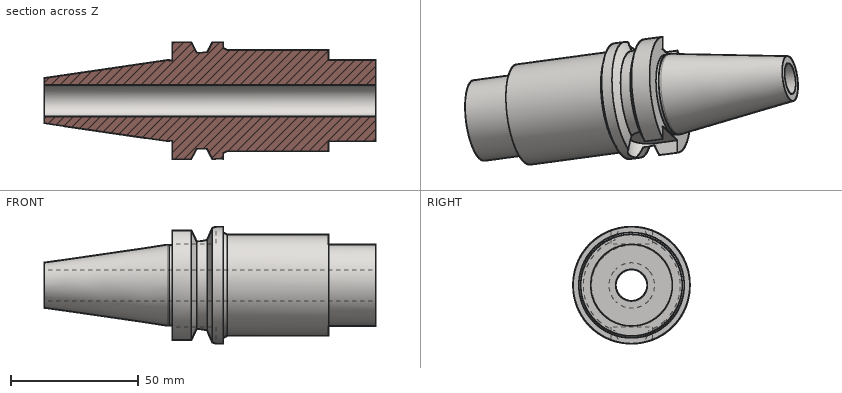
import cadquery as cq

total_length = 130.3
bore_radius = 6.1

taper_end_radius = 8.93
taper_length = 48.3
taper_slope = 7 / 48
taper_radius = taper_end_radius + taper_length * taper_slope
land_end = 49.1
neck_relief = 0.1

flange_start = 50.3
flange_end = 70.4
flange_radius = 46.0 / 2
groove_start = 57.9
groove_floor_start = 60.0
groove_floor_end = 64.0
groove_end = 66.0
groove_radius = 19.0

body_radius = 20.0
body_end = 111.7
shoulder_length = 1.5
shoulder_rise = 0.8
nose_radius = 16.0

slot_width = 16.2
slot_tip = flange_start + 17.2
slot_floor = 16.3


def revolved_holder():
    """Revolve the stepped half outline, bore included, about the X axis."""
    outline = [
        (0, bore_radius),
        (0, taper_end_radius),
        (taper_length, taper_radius),
        (land_end, taper_radius),
        (land_end, taper_radius - neck_relief),
        (flange_start, taper_radius - neck_relief),
        (flange_start, flange_radius),
        (groove_start, flange_radius),
        (groove_floor_start, groove_radius),
        (groove_floor_end, groove_radius),
        (groove_end, flange_radius),
        (flange_end, flange_radius),
        (flange_end, body_radius + shoulder_rise),
        (flange_end + shoulder_length, body_radius),
        (body_end, body_radius),
        (body_end, nose_radius),
        (total_length, nose_radius),
        (total_length, bore_radius),
    ]
    return cq.Workplane("XY").polyline(outline).close().revolve(360, (0, 0, 0), (1, 0, 0))


def drive_slot():
    """Cutter for the upper slot, from its flat floor out past the flange rim."""
    half_width = slot_width / 2
    arc_start = slot_tip - half_width
    return (
        cq.Workplane("XY", origin=(0, 0, slot_floor))
        .moveTo(flange_start, -half_width)
        .lineTo(arc_start, -half_width)
        .threePointArc((slot_tip, 0), (arc_start, half_width))
        .lineTo(flange_start, half_width)
        .close()
        .extrude(flange_radius)
    )


result = revolved_holder()
for angle in (0, 180):
    result = result.cut(drive_slot().rotate((0, 0, 0), (1, 0, 0), angle))